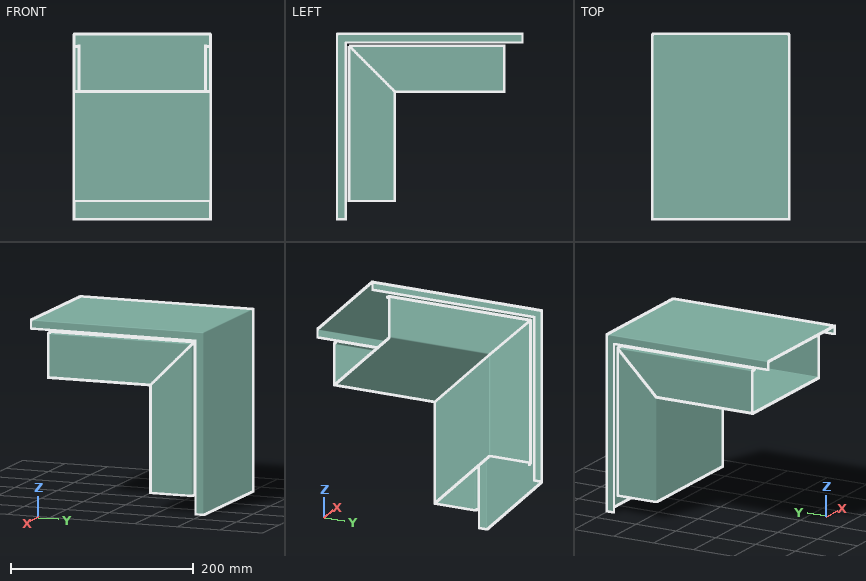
import cadquery as cq

width = 150.1
cover_length = 203.7

sheet = 0.8
bend_radius = 1.5
inner_radius = bend_radius - sheet

flange_depth = 10.0

duct_gap = 13.6
duct_height = 50.1
end_setback = 20.2
lip_width = 6.1

half_width = width / 2
fold_x = half_width - bend_radius
duct_length = cover_length - end_setback
lip_z = -duct_gap
floor_z = lip_z - duct_height
mitre_normal = cq.Vector(0, 1, -1)


def plate(x_range, z_range, length):
    """Flat strip along -Y from Y = 0, with the given extent in X and Z."""
    return (
        cq.Workplane("XZ")
        .moveTo(x_range[0], z_range[0])
        .lineTo(x_range[1], z_range[0])
        .lineTo(x_range[1], z_range[1])
        .lineTo(x_range[0], z_range[1])
        .close()
        .extrude(length)
    )


def quarter_fold(plane, center, toward, length):
    """Quarter-round fold about an axis at center, bulging to the signs in toward."""
    quarter = (
        cq.Workplane(plane)
        .center(*center)
        .rect(toward[0] * bend_radius, toward[1] * bend_radius, centered=False)
        .extrude(length)
    )
    ring = cq.Workplane(plane).center(*center).circle(bend_radius).circle(inner_radius).extrude(length)
    return ring.intersect(quarter)


def mitred(arm, corner):
    """Trim a horizontal arm to the mitre plane, and square at Y = -corner above it."""
    kept = (
        cq.Workplane("YZ", origin=(-half_width, 0, 0))
        .moveTo(-corner, 0)
        .lineTo(-corner, -corner)
        .lineTo(-cover_length, -cover_length)
        .lineTo(-cover_length, 0)
        .close()
        .extrude(width)
    )
    return arm.intersect(kept)


def rounded_angle(inset, corner_radius):
    """Solid L across the corner, inset within the cover's outer faces, with rounded outer edges."""
    block = (
        cq.Workplane("YZ", origin=(inset - half_width, 0, 0))
        .moveTo(-inset, -inset)
        .lineTo(-cover_length, -inset)
        .lineTo(-cover_length, -flange_depth)
        .lineTo(-flange_depth, -flange_depth)
        .lineTo(-flange_depth, -cover_length)
        .lineTo(-inset, -cover_length)
        .close()
        .extrude(width - 2 * inset)
    )
    return block.edges("(|Y and >Z) or (|Z and >Y) or >(0,1,1)").fillet(corner_radius)


def build_cover():
    """Plate folded over the corner, with a flange folded down each side."""
    return rounded_angle(0, bend_radius).cut(rounded_angle(sheet, inner_radius))


def build_duct_half():
    """Horizontal half of the duct: floor, two walls, and inward lips with curled edges."""
    wall_z = (floor_z + bend_radius, lip_z - bend_radius)
    curl_x = half_width - lip_width + bend_radius
    half = plate((-fold_x, fold_x), (floor_z, floor_z + sheet), duct_length)
    for side in (-1, 1):
        wall_x = (side * (half_width - sheet), side * half_width)
        lip_x = (side * curl_x, side * fold_x)
        curl_center = (side * curl_x, lip_z - sheet + bend_radius)
        half = half.union(quarter_fold("XZ", (side * fold_x, wall_z[0]), (side, -1), duct_length))
        half = half.union(plate(wall_x, wall_z, duct_length))
        half = half.union(quarter_fold("XZ", (side * fold_x, wall_z[1]), (side, 1), duct_length))
        half = half.union(plate(lip_x, (lip_z - sheet, lip_z), duct_length))
        half = half.union(quarter_fold("XZ", curl_center, (-side, -1), duct_length))
    return mitred(half, duct_gap + sheet)


cover = build_cover()
horizontal_duct = build_duct_half()
vertical_duct = horizontal_duct.mirror(mitre_normal)

result = cq.Compound.makeCompound([cover.val(), horizontal_duct.val(), vertical_duct.val()])